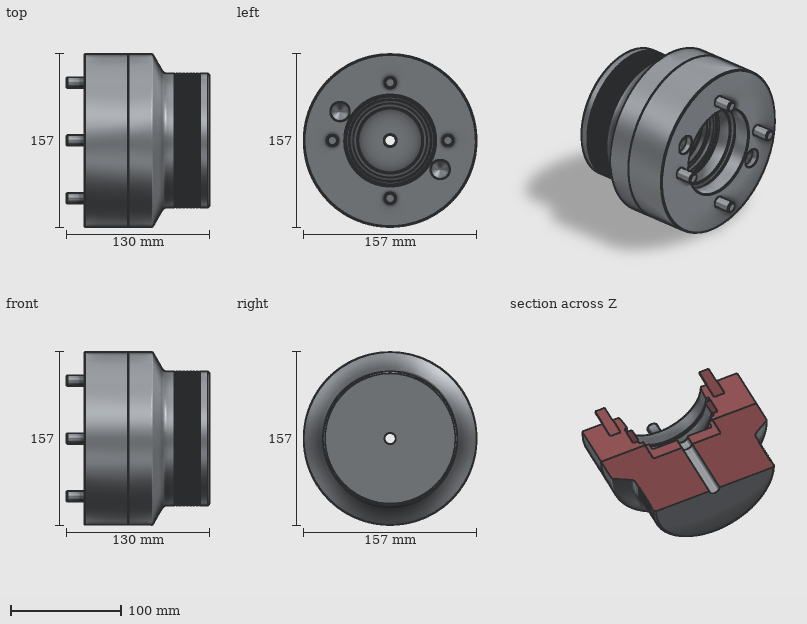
import cadquery as cq
import math


outer_radius = 157 / 2
flange_length = 40.0
housing_end = 114.0
edge_chamfer = 1.0
joint_chamfer = 0.3

neck_radius = 61.0
shoulder_start = 62.0
shoulder_angle = 60.0
shoulder_fillet = 2.0
neck_fillet = 4.2
neck_chamfer = 2.0
shoulder_length = (outer_radius - neck_radius) / math.tan(math.radians(shoulder_angle))
neck_start = shoulder_start + shoulder_length

groove_count = 8
groove_pitch = 3.05
first_groove = 81.7
groove_width = 2.15
groove_root_width = 0.9
groove_depth = 0.6

bolt_circle_radius = 104.8 / 2
pin_angles = (0, 90, 180, 270)
pin_radius = 5.0
pin_projection = 16.0
pin_insertion = 16.0
pin_chamfer = 1.0
pin_hole_chamfer = 0.4

drilling_angles = (30, 210)
drilling_radius = 8.5
drilling_depth = 6.5
drilling_point_angle = 118.0
drilling_chamfer = 0.5

mouth_chamfer = 0.9
taper_mouth_radius = 41.0
taper_end_radius = 39.6
taper_end = 11.6
lip_end = 14.5
seat_radius = 42.3
sleeve_front = 18.2
sleeve_back = 32.5
relief_radius = 37.7
relief_end = 35.5
relief_chamfer = 1.0
guide_radius = 33.7

sleeve_bore_radius = 36.7
sleeve_chamfer = relief_radius - sleeve_bore_radius

cup_front = flange_length
cup_floor = 46.8
cup_back = 56.8
cup_bore_radius = 29.9
cup_floor_chamfer = 1.1
cup_rim_chamfer = 0.3
centre_hole_radius = 5.0
centre_hole_chamfer = 1.0


def revolve_about_x(points):
    """Solid of revolution about X from a closed outline of (x, radius) points."""
    return cq.Workplane("XZ").polyline(points).close().revolve(360, (0, 0, 0), (1, 0, 0))


def on_bolt_circle(shape, angle):
    """Move a shape from the X axis onto the bolt circle, at an angle from +Y towards +Z."""
    return shape.translate((0, bolt_circle_radius, 0)).rotate((0, 0, 0), (1, 0, 0), angle)


def fillet_rim(shape, x, radius, fillet_radius):
    """Round the circular edge of a given radius at the given x."""
    half_window = 0.1
    reach = radius + half_window
    window = cq.selectors.BoxSelector(
        (x - half_window, -reach, -reach), (x + half_window, reach, reach), boundingbox=True
    )
    return shape.edges(window).fillet(fillet_radius)


def chamfered_blind_hole(radius, depth, chamfer, tip_depth):
    """Cutter for a blind hole from x = 0; a tip deeper than the hole makes a conical end."""
    return revolve_about_x([
        (0, 0),
        (0, radius + chamfer),
        (chamfer, radius),
        (depth, radius),
        (tip_depth, 0),
    ])


def make_flange():
    flange = revolve_about_x([
        (0, taper_mouth_radius + mouth_chamfer),
        (0, outer_radius - edge_chamfer),
        (edge_chamfer, outer_radius),
        (flange_length - joint_chamfer, outer_radius),
        (flange_length, outer_radius - joint_chamfer),
        (flange_length, guide_radius),
        (relief_end, guide_radius),
        (relief_end, relief_radius - relief_chamfer),
        (relief_end - relief_chamfer, relief_radius),
        (sleeve_back, relief_radius),
        (sleeve_back, seat_radius),
        (lip_end, seat_radius),
        (lip_end, taper_end_radius),
        (taper_end, taper_end_radius),
        (mouth_chamfer, taper_mouth_radius),
    ])
    pin_hole = chamfered_blind_hole(pin_radius, pin_insertion, pin_hole_chamfer, pin_insertion)
    for angle in pin_angles:
        flange = flange.cut(on_bolt_circle(pin_hole, angle))

    point_length = drilling_radius / math.tan(math.radians(drilling_point_angle / 2))
    drilling = chamfered_blind_hole(
        drilling_radius, drilling_depth, drilling_chamfer, drilling_depth + point_length
    )
    for angle in drilling_angles:
        flange = flange.cut(on_bolt_circle(drilling, angle))
    return flange


def make_neck_groove(start):
    flank = (groove_width - groove_root_width) / 2
    root_radius = neck_radius - groove_depth
    return revolve_about_x([
        (start, neck_radius),
        (start + flank, root_radius),
        (start + groove_width - flank, root_radius),
        (start + groove_width, neck_radius),
    ])


def make_housing():
    housing = revolve_about_x([
        (flange_length, guide_radius),
        (flange_length, outer_radius - joint_chamfer),
        (flange_length + joint_chamfer, outer_radius),
        (shoulder_start, outer_radius),
        (neck_start, neck_radius),
        (housing_end - neck_chamfer, neck_radius),
        (housing_end, neck_radius - neck_chamfer),
        (housing_end, centre_hole_radius),
        (cup_back, centre_hole_radius),
        (cup_back, guide_radius),
    ])
    housing = fillet_rim(housing, shoulder_start, outer_radius, shoulder_fillet)
    housing = fillet_rim(housing, neck_start, neck_radius, neck_fillet)
    for i in range(groove_count):
        housing = housing.cut(make_neck_groove(first_groove + i * groove_pitch))
    return housing


def make_sleeve():
    return revolve_about_x([
        (sleeve_front, sleeve_bore_radius + sleeve_chamfer),
        (sleeve_front, seat_radius),
        (sleeve_back, seat_radius),
        (sleeve_back, sleeve_bore_radius + sleeve_chamfer),
        (sleeve_back - sleeve_chamfer, sleeve_bore_radius),
        (sleeve_front + sleeve_chamfer, sleeve_bore_radius),
    ])


def make_cup():
    return revolve_about_x([
        (cup_front, cup_bore_radius + cup_rim_chamfer),
        (cup_front, guide_radius - cup_rim_chamfer),
        (cup_front + cup_rim_chamfer, guide_radius),
        (cup_back, guide_radius),
        (cup_back, centre_hole_radius),
        (cup_floor + centre_hole_chamfer, centre_hole_radius),
        (cup_floor, centre_hole_radius + centre_hole_chamfer),
        (cup_floor, cup_bore_radius - cup_floor_chamfer),
        (cup_floor - cup_floor_chamfer, cup_bore_radius),
        (cup_front + cup_rim_chamfer, cup_bore_radius),
    ])


def make_pin(angle):
    pin = cq.Workplane("YZ", origin=(-pin_projection, 0, 0)).circle(pin_radius)
    pin = pin.extrude(pin_projection + pin_insertion).faces("<X").chamfer(pin_chamfer)
    return on_bolt_circle(pin, angle)


flange = make_flange()
housing = make_housing()
sleeve = make_sleeve()
cup = make_cup()
pins = [make_pin(angle).val() for angle in pin_angles]

result = cq.Compound.makeCompound([flange.val(), housing.val(), sleeve.val(), cup.val(), *pins])